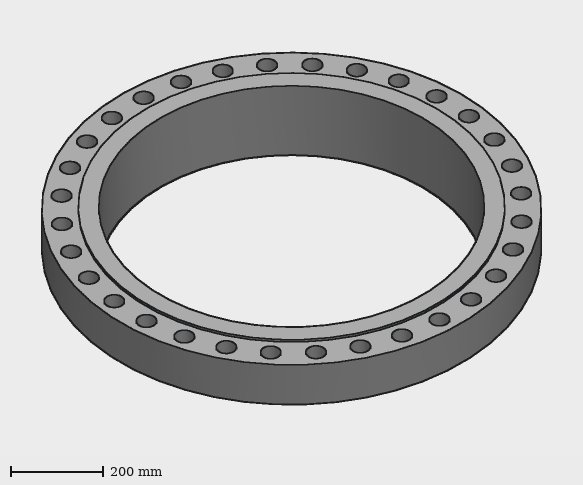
import cadquery as cq

FLANGE_DIAMETER = 1085.85
TOTAL_HEIGHT = 193.675
BORE_DIAMETER = 838.2

FACE_DIAMETER = 927.1
FACE_HEIGHT = 6.35

HUB_HEIGHT = 76.2
HUB_TOP_DIAMETER = 898.5
HUB_BOTTOM_DIAMETER = 868.3
HUB_ROOT_RADIUS = 12.7

BEVEL_HEIGHT = 10.3
WELD_LAND = 1.6

BOLT_COUNT = 32
BOLT_CIRCLE_DIAMETER = 1003.3
BOLT_HOLE_DIAMETER = 44.45

FLANGE_TOP = TOTAL_HEIGHT - FACE_HEIGHT

TOLERANCE = 0.01


def make_turned_body():
    """Solid of revolution about Z: bevelled hub, flange plate and raised face."""
    bore_radius = BORE_DIAMETER / 2
    half_section = (
        cq.Workplane("XZ")
        .moveTo(bore_radius, 0)
        .lineTo(bore_radius + WELD_LAND, 0)
        .lineTo(HUB_BOTTOM_DIAMETER / 2, BEVEL_HEIGHT)
        .lineTo(HUB_TOP_DIAMETER / 2, HUB_HEIGHT)
        .lineTo(FLANGE_DIAMETER / 2, HUB_HEIGHT)
        .lineTo(FLANGE_DIAMETER / 2, FLANGE_TOP)
        .lineTo(FACE_DIAMETER / 2, FLANGE_TOP)
        .lineTo(FACE_DIAMETER / 2, TOTAL_HEIGHT)
        .lineTo(bore_radius, TOTAL_HEIGHT)
        .close()
    )
    return half_section.revolve(360, (0, 0, 0), (0, 1, 0))


def is_hub_root(edge):
    """True for the circle where the hub meets the underside of the plate."""
    root_radius = HUB_TOP_DIAMETER / 2
    return abs(edge.Center().z - HUB_HEIGHT) < TOLERANCE and abs(edge.radius() - root_radius) < TOLERANCE


def round_hub_root(body):
    return body.edges("%CIRCLE").filter(is_hub_root).fillet(HUB_ROOT_RADIUS)


def make_bolt_holes():
    """Ring of cylinders that pass through the flange plate, the first one on +X."""
    return (
        cq.Workplane("XY")
        .workplane(offset=HUB_HEIGHT)
        .polarArray(BOLT_CIRCLE_DIAMETER / 2, 0, 360, BOLT_COUNT)
        .circle(BOLT_HOLE_DIAMETER / 2)
        .extrude(FLANGE_TOP - HUB_HEIGHT)
    )


flange = round_hub_root(make_turned_body())
result = flange.cut(make_bolt_holes())